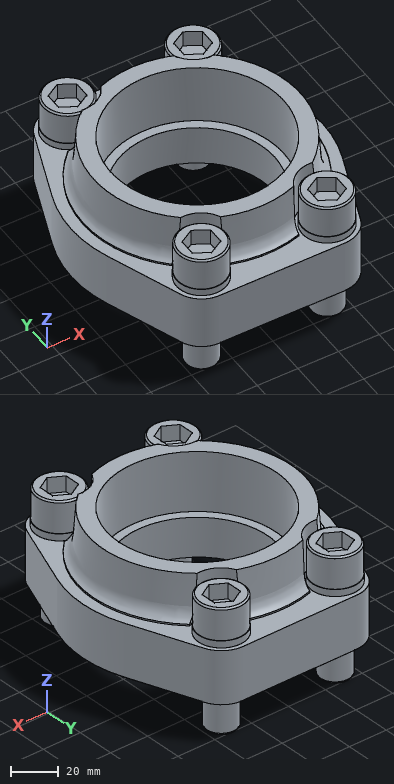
import cadquery as cq
import math

plate_thickness = 27.0
plate_length = 135.0
side_radius = 62.0

bolt_spacing_x = 61.8
bolt_spacing_y = 106.4

collar_height = 23.0
collar_top_radius = 50.9
collar_base_radius = 52.1
collar_foot_radius = 56.2
foot_height = 0.8
fillet_top_height = 7.0
fillet_radius = 8.1
scallop_radius = 14.0

bore_diameter = 76.0
socket_diameter = 84.9
socket_depth = 30.0

shank_diameter = 16.0
shank_protrusion = 19.6
shank_chamfer_height = 1.2
shank_chamfer_width = 0.8
washer_diameter = 24.5
washer_thickness = 3.5
head_diameter = 24.0
head_height = 16.0
head_chamfer = 0.8
hex_across_flats = 14.0
hex_depth = 8.0

bolt_x = bolt_spacing_x / 2
bolt_y = bolt_spacing_y / 2
bolt_places = [(bolt_x, bolt_y), (-bolt_x, bolt_y), (-bolt_x, -bolt_y), (bolt_x, -bolt_y)]
corner_radius = plate_length / 2 - bolt_y
collar_top = plate_thickness + collar_height


def make_plate():
    """Plate with corners concentric to the bolts, joined to the round sides by tangent edges."""
    bolt_distance = math.hypot(bolt_x, bolt_y)
    bolt_angle = math.atan2(bolt_y, bolt_x)
    edge_angle = bolt_angle - math.acos((side_radius - corner_radius) / bolt_distance)
    corner_angle = (edge_angle + math.pi / 2) / 2

    def on_corner(angle):
        return (bolt_x + corner_radius * math.cos(angle), bolt_y + corner_radius * math.sin(angle))

    side_x = side_radius * math.cos(edge_angle)
    side_y = side_radius * math.sin(edge_angle)
    edge_x, edge_y = on_corner(edge_angle)
    middle_x, middle_y = on_corner(corner_angle)
    end_y = plate_length / 2
    return (
        cq.Workplane("XY")
        .moveTo(side_x, -side_y)
        .threePointArc((side_radius, 0), (side_x, side_y))
        .lineTo(edge_x, edge_y)
        .threePointArc((middle_x, middle_y), (bolt_x, end_y))
        .lineTo(-bolt_x, end_y)
        .threePointArc((-middle_x, middle_y), (-edge_x, edge_y))
        .lineTo(-side_x, side_y)
        .threePointArc((-side_radius, 0), (-side_x, -side_y))
        .lineTo(-edge_x, -edge_y)
        .threePointArc((-middle_x, -middle_y), (-bolt_x, -end_y))
        .lineTo(bolt_x, -end_y)
        .threePointArc((middle_x, -middle_y), (edge_x, -edge_y))
        .close()
        .extrude(plate_thickness)
    )


def make_collar():
    """Tapered collar with a concave foot, scalloped to clear the bolt heads."""
    collar = (
        cq.Workplane("XZ")
        .moveTo(0, plate_thickness)
        .lineTo(collar_foot_radius, plate_thickness)
        .lineTo(collar_foot_radius, plate_thickness + foot_height)
        .radiusArc((collar_base_radius, plate_thickness + fillet_top_height), fillet_radius)
        .lineTo(collar_top_radius, collar_top)
        .lineTo(0, collar_top)
        .close()
        .revolve(360, (0, 0, 0), (0, 1, 0))
    )
    scallops = (
        cq.Workplane("XY", origin=(0, 0, plate_thickness))
        .pushPoints(bolt_places)
        .circle(scallop_radius)
        .extrude(collar_height)
    )
    return collar.cut(scallops)


def make_bore():
    """Through bore with a wider socket sunk from the top of the collar."""
    bore = cq.Workplane("XY").circle(bore_diameter / 2).extrude(collar_top)
    socket = (
        cq.Workplane("XY", origin=(0, 0, collar_top))
        .circle(socket_diameter / 2)
        .extrude(-socket_depth)
    )
    return bore.union(socket)


def make_bolt():
    """Bolt with washer, standing on the Z axis, with a hexagon socket in its head."""
    shank_radius = shank_diameter / 2
    washer_radius = washer_diameter / 2
    head_radius = head_diameter / 2
    head_base = plate_thickness + washer_thickness
    head_top = head_base + head_height
    bolt = (
        cq.Workplane("XZ")
        .moveTo(0, -shank_protrusion)
        .lineTo(shank_radius - shank_chamfer_width, -shank_protrusion)
        .lineTo(shank_radius, shank_chamfer_height - shank_protrusion)
        .lineTo(shank_radius, plate_thickness)
        .lineTo(washer_radius, plate_thickness)
        .lineTo(washer_radius, head_base)
        .lineTo(head_radius, head_base)
        .lineTo(head_radius, head_top - head_chamfer)
        .lineTo(head_radius - head_chamfer, head_top)
        .lineTo(0, head_top)
        .close()
        .revolve(360, (0, 0, 0), (0, 1, 0))
    )
    hex_across_corners = hex_across_flats / math.cos(math.pi / 6)
    hex_socket = (
        cq.Workplane("XY", origin=(0, 0, head_top))
        .transformed(rotate=(0, 0, 30))
        .polygon(6, hex_across_corners)
        .extrude(-hex_depth)
    )
    return bolt.cut(hex_socket)


result = make_plate().union(make_collar()).cut(make_bore())
bolt = make_bolt()
for x, y in bolt_places:
    result = result.union(bolt.translate((x, y, 0)))